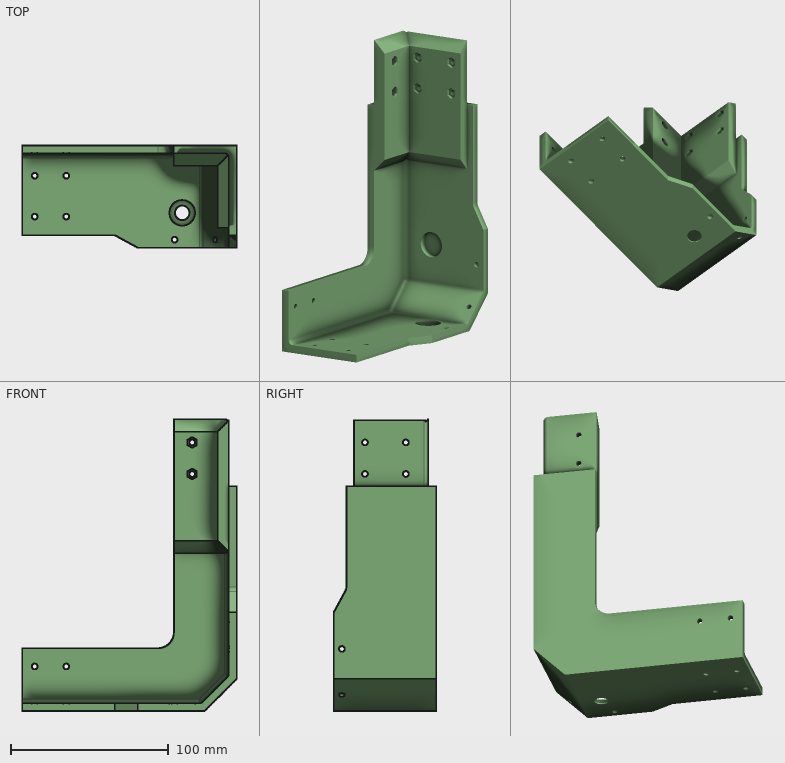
import cadquery as cq
import math

length = 136.0
depth = 65.0
height = 185.0

wall = 5.0
leg_width = 40.0
shell_height = 142.5
corner_chamfer = 20.5
web_bend_radius = 10.0
inside_fillet = 3.0

narrow_depth = 57.0
step_start = 62.7
step_end = 77.3
step_fillet = 6.0

back_plate_thickness = 8.0
side_plate_thickness = 7.2
tongue_inner_bottom = 108.0
tongue_inner_top = height - back_plate_thickness
tongue_front = 52.2

screw_diameter = 3.5
screw_pitch = 20.0
leg_screw_end_distance = 8.0
tongue_screw_end_distance = 14.8
web_screw_offset = 28.3
plate_screw_depths = (19.2, 45.1)
nut_across_flats = 6.0
nut_pocket_depth = 2.4

edge_screw_depth = 59.8
edge_screw_distance = 39.4

recess_diameter = 16.3
recess_floor = 1.0
floor_hole_diameter = 9.0
floor_hole_distance = 34.6
floor_hole_depth = 42.7
wall_recess_height = 48.1
wall_recess_depth = 25.0

clearance = 9.2

inner_x = length - wall
left_edge = length - leg_width
tongue_screw_heights = [height - tongue_screw_end_distance - i * screw_pitch for i in range(2)]
leg_screw_positions = [leg_screw_end_distance + i * screw_pitch for i in range(2)]


def corner_outline(offset, start_x, top):
    """Floor, chamfer and side-wall line of the L in XZ, moved inwards by offset."""
    right = length - offset
    chamfer = corner_chamfer - offset * (2 - math.sqrt(2))
    return [
        (start_x, offset),
        (right - chamfer, offset),
        (right, offset + chamfer),
        (right, top),
    ]


def make_shell():
    web_edge = [(left_edge, shell_height), (left_edge, leg_width), (0, leg_width)]
    body = (
        cq.Workplane("XZ")
        .polyline(corner_outline(0, 0, shell_height) + web_edge)
        .close()
        .extrude(depth)
    )
    bend = cq.selectors.NearestToPointSelector((left_edge, -depth / 2, leg_width))
    body = body.edges("|Y").edges(bend).fillet(web_bend_radius)

    cavity_top = shell_height + clearance
    cavity = (
        cq.Workplane("XZ", origin=(0, -wall, 0))
        .polyline(corner_outline(wall, -clearance, cavity_top) + [(-clearance, cavity_top)])
        .close()
        .extrude(depth)
        .edges("|Y or >Y")
        .fillet(inside_fillet)
    )
    return body.cut(cavity)


def step_outline(leg_length):
    """Waste in front of a narrow leg, as (distance from the outer corner, Y) points."""
    front = -depth - clearance
    slope = (step_end - step_start) / (depth - narrow_depth)
    return [
        (step_start - slope * clearance, front),
        (step_end, -narrow_depth),
        (leg_length + clearance, -narrow_depth),
        (leg_length + clearance, front),
    ]


def make_floor_step():
    points = [(length - distance, y) for distance, y in step_outline(length)]
    return cq.Workplane("XY").polyline(points).close().extrude(wall)


def make_wall_step():
    points = [(y, distance) for distance, y in step_outline(shell_height)]
    waste = cq.Workplane("YZ", origin=(inner_x, 0, 0)).polyline(points).close().extrude(wall)
    step_edge = cq.selectors.NearestToPointSelector((length - wall / 2, -narrow_depth, step_end))
    return waste.edges("|X").edges(step_edge).fillet(step_fillet)


def tongue_outline(outer_face, thickness):
    """Section of one tongue plate as (position, Z) points, with 45 degree bevels to sharp ends."""
    inner_face = outer_face - thickness
    return [
        (outer_face, tongue_inner_bottom - thickness),
        (inner_face, tongue_inner_bottom),
        (inner_face, tongue_inner_top),
        (outer_face, tongue_inner_top + thickness),
    ]


def make_tongue():
    back_plate = (
        cq.Workplane("YZ", origin=(left_edge, 0, 0))
        .polyline(tongue_outline(-wall, back_plate_thickness))
        .close()
        .extrude(inner_x - left_edge)
    )
    side_plate = (
        cq.Workplane("XZ", origin=(0, -wall, 0))
        .polyline(tongue_outline(inner_x, side_plate_thickness))
        .close()
        .extrude(tongue_front - wall)
    )
    envelope = (
        cq.Workplane("XY")
        .box(inner_x - left_edge, tongue_front - wall, height, centered=False)
        .translate((left_edge, -tongue_front, 0))
        .edges("|Z and >X and >Y")
        .fillet(inside_fillet)
    )
    return back_plate.union(side_plate).intersect(envelope)


def drill(plane, points):
    """Screw holes along the plane's normal, passing through the material on both sides of it."""
    return plane.pushPoints(points).circle(screw_diameter / 2).extrude(back_plate_thickness + clearance, both=True)


def nut_pockets(plane, points):
    """Hexagonal nut pockets sunk along the plane's normal, with corners facing up and down."""
    across_corners = nut_across_flats / math.cos(math.pi / 6)
    return plane.pushPoints(points).polygon(6, across_corners).extrude(nut_pocket_depth)


def make_leg_screws():
    floor_points = [(x, -y) for x in leg_screw_positions for y in plate_screw_depths]
    web_points = [(x, web_screw_offset) for x in leg_screw_positions]
    floor_holes = drill(cq.Workplane("XY"), floor_points)
    return floor_holes.union(drill(cq.Workplane("XZ"), web_points))


def make_tongue_screws():
    """Screw holes through both tongue plates, each with a nut pocket in the inner face."""
    side_face = cq.Plane((inner_x - side_plate_thickness, 0, 0), (0, 0, 1), (1, 0, 0))
    back_face = cq.Plane((length, -wall - back_plate_thickness, 0), (0, 0, 1), (0, 1, 0))
    side_points = [(z, y) for z in tongue_screw_heights for y in plate_screw_depths]
    back_points = [(z, -web_screw_offset) for z in tongue_screw_heights]
    cutters = cq.Workplane()
    for face, points in ((side_face, side_points), (back_face, back_points)):
        cutters = cutters.add(drill(cq.Workplane(face), points))
        cutters = cutters.add(nut_pockets(cq.Workplane(face), points))
    return cutters.combine()


def make_edge_screws():
    """One hole each through the floor, the side wall and the middle of the chamfered wall."""
    along_floor = drill(cq.Workplane("XY"), [(length - edge_screw_distance, -edge_screw_depth)])
    along_wall = drill(
        cq.Workplane("YZ", origin=(length, 0, 0)), [(-edge_screw_depth, edge_screw_distance)]
    )
    chamfer_middle = (length - corner_chamfer / 2, -edge_screw_depth, corner_chamfer / 2)
    chamfer_plane = cq.Plane(chamfer_middle, (0, 1, 0), (1, 0, -1))
    return along_floor.union(along_wall).union(drill(cq.Workplane(chamfer_plane), [(0, 0)]))


def make_floor_hole():
    plane = cq.Workplane("XY").center(length - floor_hole_distance, -floor_hole_depth)
    hole = plane.circle(floor_hole_diameter / 2).extrude(wall)
    recess = plane.workplane(offset=recess_floor).circle(recess_diameter / 2).extrude(wall)
    return hole.union(recess)


def make_wall_recess():
    plane = cq.Workplane("YZ", origin=(inner_x, 0, 0)).center(-wall_recess_depth, wall_recess_height)
    return plane.circle(recess_diameter / 2).extrude(wall - recess_floor)


shell = make_shell().cut(make_floor_step()).cut(make_wall_step())
result = (
    shell.union(make_tongue())
    .cut(make_leg_screws())
    .cut(make_tongue_screws())
    .cut(make_edge_screws())
    .cut(make_floor_hole())
    .cut(make_wall_recess())
)